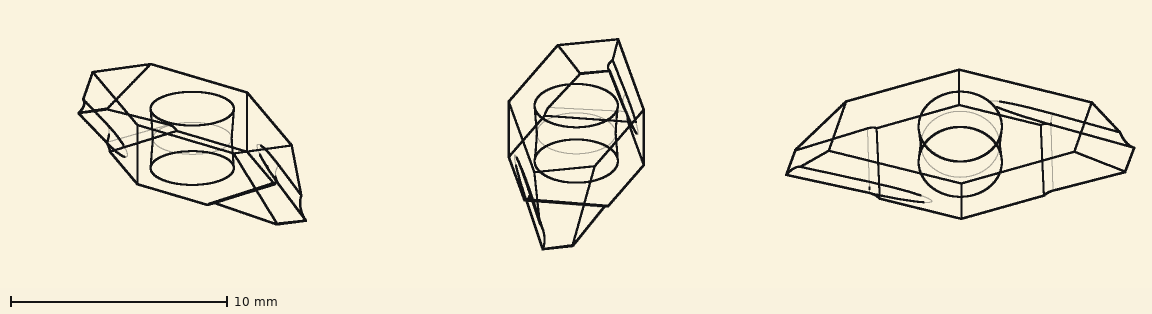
import cadquery as cq
import math


length = 15.0
width = 6.0
thickness = 3.0
half_length = length / 2
half_width = width / 2
end_edge_width = 1.42
side_angle = 35.0
end_relief_angle = 35.0
end_land_top = 0.07
end_clearance_angle = 1.0

mouth_diameter = 3.85
throat_diameter = 3.64
throat_height = thickness / 2

rake_angle = 3.0
tip_height = 0.05
wall_foot_x = -2.93
wall_angle = 18.0
wall_fillet = 0.5

groove_radius = 0.85
groove_depth = 0.15
groove_rise = 0.475
groove_straight_end_x = -3.53
runout_length = 3.05
runout_overrun = 1.5

overlap = 1.0

rake_slope = math.tan(math.radians(rake_angle))


def rake_height(x):
    """Height of the rake face of the -X end."""
    return tip_height + (x + half_length) * rake_slope


def both_ends(cutter):
    """Cutter for the -X end, joined by its half-turn copy for the +X end."""
    return [cutter, cutter.rotate((0, 0, 0), (0, 0, 1), 180)]


def make_body():
    side_run = (width - end_edge_width) / math.tan(math.radians(side_angle))
    end_setback = end_edge_width * math.tan(math.radians(end_clearance_angle))
    inner_x = half_length - end_setback
    corner_x = inner_x - side_run
    inner_y = half_width - end_edge_width
    outline = [
        (-half_length, -half_width),
        (corner_x, -half_width),
        (inner_x, inner_y),
        (half_length, half_width),
        (-corner_x, half_width),
        (-inner_x, -inner_y),
    ]
    plan = cq.Workplane("XY").polyline(outline).close().extrude(thickness)

    relief_run = (thickness - end_land_top) * math.tan(math.radians(end_relief_angle))
    top_x = half_length - relief_run
    profile = [
        (-half_length, 0),
        (half_length, 0),
        (half_length, end_land_top),
        (top_x, thickness),
        (-top_x, thickness),
        (-half_length, end_land_top),
    ]
    side_body = cq.Workplane("XZ").polyline(profile).close().extrude(half_width, both=True)
    return plan.intersect(side_body)


def make_hole():
    mouth_radius = mouth_diameter / 2
    throat_radius = throat_diameter / 2
    return (
        cq.Workplane("XZ")
        .moveTo(0, 0)
        .lineTo(mouth_radius, 0)
        .lineTo(throat_radius, throat_height)
        .lineTo(mouth_radius, thickness)
        .lineTo(0, thickness)
        .close()
        .revolve(360, (0, 0, 0), (0, 1, 0))
    )


def make_chip_breaker():
    """Wedge under the rake face, closed by a slanted wall with a filleted root."""
    outer_x = -half_length - overlap
    reach_y = half_width + overlap
    wall_shift = overlap * math.tan(math.radians(wall_angle))
    far_shift = (width + overlap) * math.tan(math.radians(wall_angle))
    footprint = [
        (outer_x, -reach_y),
        (wall_foot_x + wall_shift, -reach_y),
        (wall_foot_x - far_shift, reach_y),
        (outer_x, reach_y),
    ]
    prism = (
        cq.Workplane("XY")
        .workplane(offset=-overlap)
        .polyline(footprint)
        .close()
        .extrude(2 * overlap)
    )
    below_rake = (
        cq.Workplane("XZ")
        .polyline([
            (outer_x, -overlap),
            (0, -overlap),
            (0, rake_height(0)),
            (outer_x, rake_height(outer_x)),
        ])
        .close()
        .extrude(reach_y, both=True)
    )
    wedge = prism.intersect(below_rake)
    return wedge.faces(">Z").edges(">X").fillet(wall_fillet)


def make_groove():
    """Round groove along the -Y side that runs out on a long arc."""
    runout_radius = (runout_length**2 + groove_depth**2) / (2 * groove_depth)
    axis_arc_radius = runout_radius - groove_radius
    axis_y = -half_width + groove_depth - groove_radius
    axis_z = rake_height(groove_straight_end_x) + groove_rise
    cos_rake = math.cos(math.radians(rake_angle))
    sin_rake = math.sin(math.radians(rake_angle))
    straight_length = half_length + overlap + groove_straight_end_x
    sweep_angle = runout_overrun * math.degrees(math.asin(runout_length / runout_radius))

    section_plane = cq.Plane(
        origin=(groove_straight_end_x, axis_y, axis_z),
        xDir=(0, -1, 0),
        normal=(-cos_rake, 0, -sin_rake),
    )
    straight = cq.Workplane(section_plane).circle(groove_radius).extrude(straight_length)
    runout = (
        cq.Workplane(section_plane)
        .circle(groove_radius)
        .revolve(sweep_angle, (axis_arc_radius, 0, 0), (axis_arc_radius, -1, 0))
    )
    return straight.union(runout)


result = make_body().cut(make_hole())
for feature in (make_chip_breaker(), make_groove()):
    for cutter in both_ends(feature):
        result = result.cut(cutter)